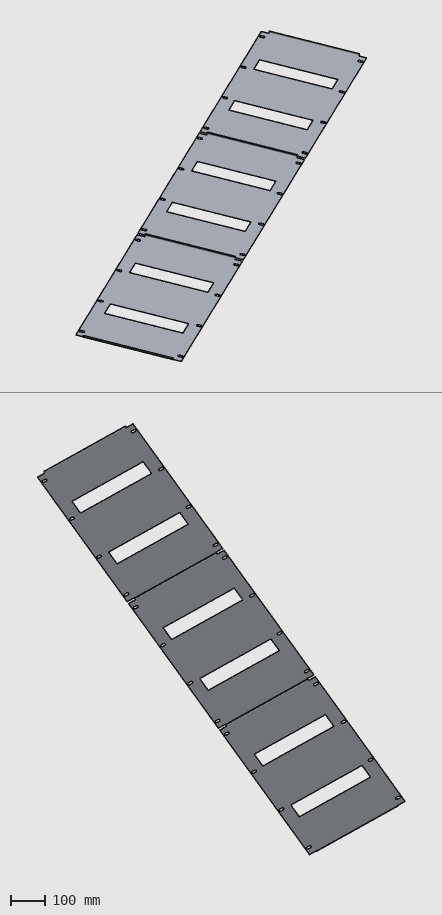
import cadquery as cq

TOTAL_LENGTH = 1498.0
PANEL_COUNT = 3
PANEL_GAP = 2.0
PANEL_WIDTH = 333.0
PANEL_LENGTH = (TOTAL_LENGTH - (PANEL_COUNT - 1) * PANEL_GAP) / PANEL_COUNT
PANEL_PITCH = PANEL_LENGTH + PANEL_GAP

SHEET_THICKNESS = 1.2
FLANGE_HEIGHT = 8.0
FLANGE_INSET = 24.0
FLANGE_WIDTH = PANEL_WIDTH - 2 * FLANGE_INSET
INNER_BEND_RADIUS = 1.0
OUTER_BEND_RADIUS = INNER_BEND_RADIUS + SHEET_THICKNESS
FLAT_LENGTH = PANEL_LENGTH - 2 * OUTER_BEND_RADIUS

WINDOW_WIDTH = 247.0
WINDOW_HEIGHT = 46.0
WINDOW_COUNT = 2
WINDOW_PITCH = 200.0

SLOT_LENGTH = 15.0
SLOT_WIDTH = 7.0
SLOT_EDGE_DISTANCE = 11.2
SLOT_ROWS = 4
SLOT_ROW_PITCH = 150.0
SLOT_COLUMN_PITCH = PANEL_WIDTH - 2 * SLOT_EDGE_DISTANCE


def make_folded_strip():
    """Sheet as wide as the flanges, bent upward at both Y ends."""
    outer = (
        cq.Workplane("XY")
        .box(FLANGE_WIDTH, PANEL_LENGTH, FLANGE_HEIGHT, centered=(True, True, False))
        .edges("|X and <Z")
        .fillet(OUTER_BEND_RADIUS)
    )
    inside = (
        cq.Workplane("XY", origin=(0, 0, SHEET_THICKNESS))
        .box(FLANGE_WIDTH, PANEL_LENGTH - 2 * SHEET_THICKNESS, FLANGE_HEIGHT, centered=(True, True, False))
        .edges("|X and <Z")
        .fillet(INNER_BEND_RADIUS)
    )
    return outer.cut(inside)


def make_panel():
    """Flat plate with folded end flanges, windows and fixing slots."""
    plate = cq.Workplane("XY").box(
        PANEL_WIDTH, FLAT_LENGTH, SHEET_THICKNESS, centered=(True, True, False)
    )
    windows = (
        cq.Workplane("XY")
        .rarray(15, WINDOW_PITCH, 1, WINDOW_COUNT)
        .rect(WINDOW_WIDTH, WINDOW_HEIGHT)
        .extrude(SHEET_THICKNESS)
    )
    slots = (
        cq.Workplane("XY")
        .rarray(SLOT_COLUMN_PITCH, SLOT_ROW_PITCH, 2, SLOT_ROWS)
        .slot2D(SLOT_LENGTH, SLOT_WIDTH)
        .extrude(SHEET_THICKNESS)
    )
    return plate.union(make_folded_strip()).cut(windows).cut(slots)


def place_panels():
    """Copies of the panel in a row centred on the origin."""
    first_y = -(PANEL_COUNT - 1) * PANEL_PITCH / 2
    return [
        make_panel().translate((0, first_y + index * PANEL_PITCH, 0)).val()
        for index in range(PANEL_COUNT)
    ]


panels = place_panels()
result = cq.Compound.makeCompound(panels)